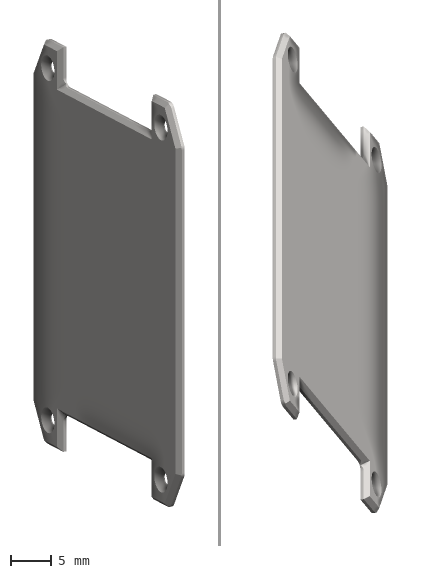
import cadquery as cq
import math

width = 36.2
height = 52.6
thickness = 1.0
bevel = 0.6
corner_radius = 1.0

clip_height = 5.0
clip_width = clip_height / math.tan(math.radians(60))

notch_width = 22.2
notch_depth = 5.0
notch_overrun = 5.25

hole_diameter = 1.6
countersink_diameter = 3.25
countersink_angle = 90.0
hole_spacing_x = 27.9
hole_spacing_z = 45.75

front_y = -thickness / 2
back_y = thickness / 2


def plane_at(y):
    """XZ plane at depth y; its normal points to the front (-Y)."""
    return cq.Workplane("XZ", origin=(0, y, 0))


def make_plate():
    """Clipped rectangle with rounded upright edges and a mitred front bevel."""
    half_w = width / 2
    half_h = height / 2
    flat_x = half_w - clip_width
    side_z = half_h - clip_height
    outline = [
        (flat_x, half_h), (half_w, side_z), (half_w, -side_z), (flat_x, -half_h),
        (-flat_x, -half_h), (-half_w, -side_z), (-half_w, side_z), (-flat_x, half_h),
    ]
    blank = plane_at(back_y).polyline(outline).close().extrude(thickness)
    rounded = blank.edges("|Y").fillet(corner_radius)
    return blank.faces("<Y").chamfer(bevel).intersect(rounded)


def make_notch(side):
    """Cutter for the top (side=1) or bottom (side=-1) notch, with its bevel."""
    cutter_height = notch_depth + notch_overrun
    center_z = side * (height / 2 - notch_depth + cutter_height / 2)
    straight = (
        plane_at(back_y).center(0, center_z).rect(notch_width, cutter_height)
        .extrude(thickness).edges("|Y").fillet(corner_radius)
    )
    inset = 2 * (thickness - bevel)
    growth = 2 * bevel
    flare = (
        plane_at(back_y).center(0, center_z)
        .rect(notch_width - inset, cutter_height - inset)
        .workplane(offset=thickness)
        .rect(notch_width + growth, cutter_height + growth)
        .loft(ruled=True)
    )
    return straight.union(flare)


result = make_plate()
for side in (1, -1):
    result = result.cut(make_notch(side))

result = (
    result.copyWorkplane(plane_at(front_y))
    .rarray(hole_spacing_x, hole_spacing_z, 2, 2)
    .cskHole(hole_diameter, countersink_diameter, countersink_angle)
)